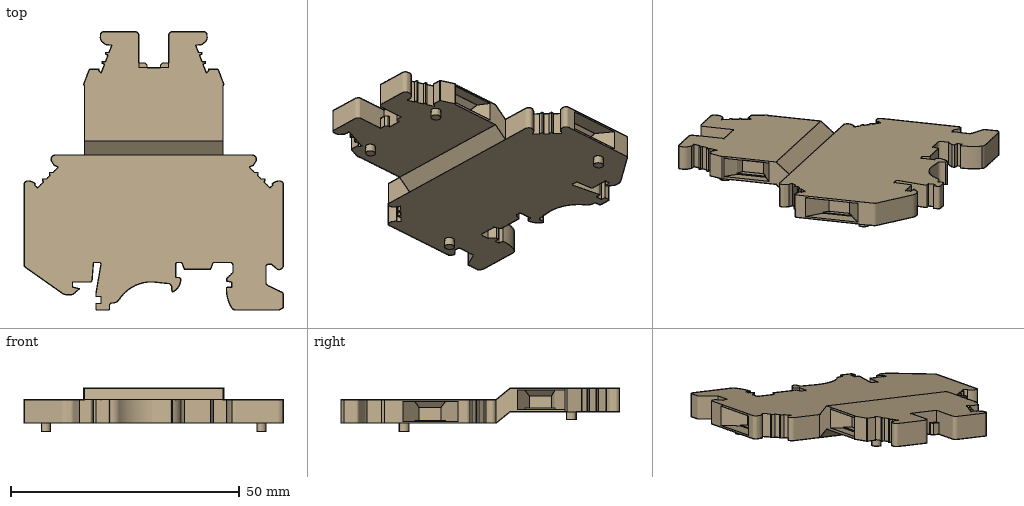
import cadquery as cq
width = 56.8
length = 61.0
foot_pin_length = 1.8
plate_thickness = 5.2
step_height = 2.5

half_width = width / 2
foot_bottom = foot_pin_length
foot_top = foot_bottom + plate_thickness
head_top = foot_top + step_height
head_bottom = head_top - plate_thickness

shoulder_y = 34.0
split_y = 11.0

head_half_width = 15.2
ramp_start_y = 37.0
slot_width = 6.5
slot_half_width = slot_width / 2
slot_floor_y = 53.15

overlap = 0.6

funnel_roof = 0.4
funnel_dip = 1.3

pin_width = 2.0
pin_span = 2.2
head_pin_length = 1.7
foot_pin_x = 23.6
foot_pin_y = 13.85
head_pin_x = 10.4
head_pin_y = 50.45


def trace(start, *steps):
    """Closed outline: a point is a line, a pair of points is an arc (middle, end)."""
    outline = cq.Workplane("XY").moveTo(*start)
    for step in steps:
        if isinstance(step[0], tuple):
            outline = outline.threePointArc(*step)
        else:
            outline = outline.lineTo(*step)
    return outline.close()


def plate(outline, bottom, top):
    return outline.extrude(top - bottom).translate((0, 0, bottom))


def with_mirror(left):
    """Join a left-hand body and its mirror image across X = 0."""
    return left.union(left.mirror("YZ"))


def foot_shoulders():
    left = plate(
        trace(
            (0, split_y),
            (-half_width, split_y),
            (-half_width, 27.5),
            ((-28.2, 28.05), (-27.7, 28.3)),
            (-27.3, 28.3),
            ((-26.6, 28.1), (-25.9, 27.65)),
            (-26.05, 27.4),
            (-25.45, 26.8),
            (-20.9, 31.3),
            (-21.85, 31.7),
            (-22.4, 32.6),
            ((-22.4, 33.5), (-21.65, shoulder_y)),
            (0, shoulder_y),
        ),
        foot_bottom,
        foot_top,
    )
    face_offset = 52.2
    tooth_width = 0.85
    tooth_tip = 0.4
    tooth_foot = 0.7
    for tooth_y in (28.75, 30.2):
        root_x = tooth_y - face_offset
        left = left.union(plate(
            trace(
                (root_x, tooth_y - tooth_foot),
                (root_x, tooth_y),
                (root_x - tooth_width, tooth_y),
                (root_x - tooth_width, tooth_y - tooth_tip),
                (root_x - tooth_foot, tooth_y - tooth_foot),
            ),
            foot_bottom,
            foot_top,
        ))
    return with_mirror(left)


def rail_profile():
    slot_top = 10.45
    hook_y = 6.15
    return plate(
        trace(
            (-half_width, split_y + overlap),
            (-half_width, 9.9),
            ((-28.3, 9.6), (-28.05, 9.35)),
            (-20.2, 3.8),
            ((-19.65, 3.5), (-19.0, 3.35)),
            (-18.3, 3.35),
            ((-17.8, 3.4), (-17.45, 3.65)),
            (-16.2, 4.7),
            (-17.75, 5.05),
            (-17.75, hook_y),
            (-13.9, hook_y),
            ((-13.6, 6.3), (-13.5, 6.6)),
            (-13.2, slot_top),
            (-11.9, slot_top),
            ((-11.65, 10.3), (-11.6, 10.0)),
            (-12.7, 3.6),
            (-12.7, 3.0),
            (-11.6, 3.0),
            (-11.6, 1.45),
            (-12.7, 1.45),
            (-12.7, 0.4),
            ((-12.55, 0.1), (-12.25, 0)),
            (-10.05, 0),
            ((-9.75, 0.1), (-9.65, 0.4)),
            (-9.65, 1.1),
            ((-9.5, 1.4), (-9.2, 1.5)),
            ((-8.3, 1.7), (-7.55, 2.3)),
            ((-5.25, 4.7), (-0.3, hook_y)),
            (3.25, 5.8),
            ((3.7, 5.55), (3.9, 5.05)),
            (3.9, 4.4),
            (4.15, 3.95),
            ((5.35, 5.0), (5.9, 6.35)),
            ((5.85, 6.95), (5.5, 7.2)),
            (4.8, 7.2),
            (4.8, 10.05),
            ((4.9, 10.3), (5.1, slot_top)),
            (5.8, slot_top),
            ((6.1, 10.3), (6.3, 10.0)),
            (6.7, 8.9),
            (12.45, 8.9),
            (13.05, slot_top),
            (16.7, slot_top),
            ((17.15, 10.25), (17.3, 9.8)),
            (17.3, 8.25),
            (16.0, 6.95),
            (16.0, 6.35),
            (17.1, 6.1),
            (17.1, 5.05),
            (15.9, 5.0),
            ((16.15, 2.55), (17.15, 0.35)),
            ((17.5, 0.1), (18.0, 0)),
            (27.3, 0),
            ((27.95, 0.25), (half_width, 0.6)),
            (half_width, 3.4),
            ((28.3, 3.7), (28.0, 3.95)),
            (25.1, 5.35),
            (24.6, 5.75),
            (24.6, 9.6),
            ((24.7, 9.9), (25.0, 10.0)),
            (25.8, 10.0),
            (26.9, 9.1),
            ((27.45, 8.85), (28.0, 9.1)),
            (half_width, 9.5),
            (half_width, split_y + overlap),
        ),
        foot_bottom,
        foot_top,
    )


def head_plate():
    left = plate(
        trace(
            (0, ramp_start_y),
            (-head_half_width, ramp_start_y),
            (-head_half_width, 49.1),
            (-15.4, 49.5),
            (-14.15, 52.65),
            (-13.95, 52.75),
            (-11.95, 52.75),
            (-12.1, 52.45),
            (-11.5, 52.0),
            (-9.2, 58.0),
            (-10.55, 58.15),
            (-11.35, 58.8),
            ((-11.65, 59.3), (-11.7, 59.85)),
            (-11.7, 60.25),
            ((-11.45, 60.75), (-10.9, length)),
            (-4.15, length),
            ((-3.55, 60.75), (-slot_half_width, 60.25)),
            (-slot_half_width, slot_floor_y),
            (0, slot_floor_y),
        ),
        head_bottom,
        head_top,
    )
    tooth_root = 0.9
    tooth_tip = 0.35
    for tooth_x, tooth_y in ((-10.55, 56.4), (-11.3, 54.4)):
        left = left.union(plate(
            trace(
                (tooth_x, tooth_y),
                (tooth_x + tooth_root, tooth_y),
                (tooth_x + tooth_root, tooth_y - 2 * tooth_tip),
                (tooth_x, tooth_y - tooth_tip),
            ),
            head_bottom,
            head_top,
        ))
    stop_y = slot_floor_y + 1.05
    stop_x = -1.45
    stop_bevel = 0.5
    left = left.union(plate(
        trace(
            (-slot_half_width - overlap, slot_floor_y - overlap),
            (-slot_half_width - overlap, stop_y),
            (stop_x - stop_bevel, stop_y),
            (stop_x, stop_y - stop_bevel),
            (stop_x, slot_floor_y - overlap),
        ),
        head_bottom,
        head_bottom + plate_thickness / 2,
    ))
    return with_mirror(left)


def ramp():
    """Sloping web that joins the foot plate to the raised head plate."""
    side = [
        (shoulder_y - overlap, foot_bottom),
        (shoulder_y, foot_bottom),
        (ramp_start_y, head_bottom),
        (ramp_start_y + overlap, head_bottom),
        (ramp_start_y + overlap, head_top),
        (ramp_start_y, head_top),
        (shoulder_y, foot_top),
        (shoulder_y - overlap, foot_top),
    ]
    return cq.Workplane("YZ").polyline(side).close().extrude(head_half_width, both=True)


def wire_funnels(side_x, near_wall, far_wall, floor, ceiling):
    """Tapering pocket in each side face.

    Both walls list (depth, y) from the mouth inwards, floor and ceiling list (depth, z).
    """
    mouth_x = -side_x - overlap

    def profile(lower, upper):
        points = [(-side_x + depth, place) for depth, place in lower + upper[::-1]]
        return [(mouth_x, lower[0][1])] + points + [(mouth_x, upper[0][1])]

    plan = plate(cq.Workplane("XY").polyline(profile(near_wall, far_wall)).close(), 0, head_top)
    section = cq.Workplane("XZ").polyline(profile(floor, ceiling)).close().extrude(-length)
    return with_mirror(plan.intersect(section))


def foot_funnels():
    throat, depth = 3.5, 4.7
    floor_z = foot_bottom + 0.4
    inner_floor_z = floor_z + 0.2
    ceiling_z = foot_top - funnel_roof
    return wire_funnels(
        half_width,
        near_wall=[(0, 13.6), (depth, 17.1)],
        far_wall=[(0, 25.7), (depth, 21.9)],
        floor=[(0, floor_z), (throat, floor_z), (throat, inner_floor_z), (depth, inner_floor_z)],
        ceiling=[(0, ceiling_z), (throat, ceiling_z), (depth, ceiling_z - funnel_dip)],
    )


def head_funnels():
    throat, depth = 2.45, 3.95
    floor_z = head_bottom + 0.55
    inner_floor_z = floor_z + 0.25
    ceiling_z = head_top - funnel_roof
    return wire_funnels(
        head_half_width,
        near_wall=[(0, 38.7), (depth, 41.25)],
        far_wall=[(0, 49.1), (throat, 46.85), (depth, 46.1)],
        floor=[(0, floor_z), (throat, floor_z), (throat, inner_floor_z), (depth, inner_floor_z)],
        ceiling=[(0, ceiling_z), (throat, ceiling_z), (depth, ceiling_z - funnel_dip)],
    )


def pins(x, y, bottom, top):
    return (
        cq.Workplane("XY")
        .workplane(offset=bottom)
        .pushPoints([(-x, y), (x, y)])
        .slot2D(pin_span, pin_width, 90)
        .extrude(top - bottom)
    )


result = (
    foot_shoulders()
    .union(rail_profile())
    .union(ramp())
    .union(head_plate())
    .cut(foot_funnels())
    .cut(head_funnels())
    .union(pins(foot_pin_x, foot_pin_y, 0, foot_bottom + overlap / 2))
    .union(pins(head_pin_x, head_pin_y, head_bottom - head_pin_length, head_bottom + overlap / 2))
)